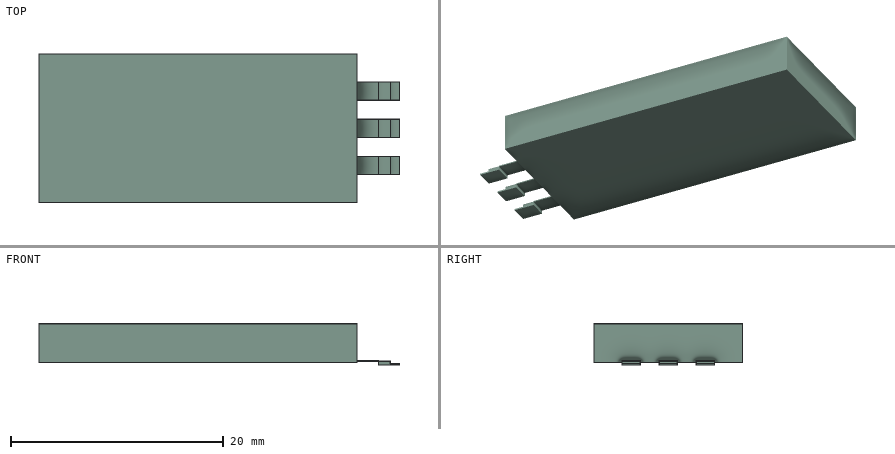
import cadquery as cq

total_length = 34.0
total_height = 3.9

housing_length = 30.0
housing_width = 14.0
housing_height = 3.67

contact_count = 3
contact_pitch = 3.5
contact_width = 1.75

strip_length = 2.0
strip_thickness = 0.1
strip_bottom = 0.1

terminal_start = housing_length + strip_length
terminal_bottom = housing_height - total_height
terminal_top = 0.15
upper_step_length = 1.12
lower_step_top = -0.1


def make_housing():
    return cq.Workplane("XY").box(
        housing_length, housing_width, housing_height, centered=(False, True, False)
    )


def make_strip(y_center):
    """Thin lead running from the housing end face to the terminal."""
    return (
        cq.Workplane("XY")
        .box(strip_length, contact_width, strip_thickness, centered=(False, True, False))
        .translate((housing_length, y_center, strip_bottom))
    )


def make_terminal(y_center):
    """Stepped block, tall against the strip and low at its free end."""
    step_x = terminal_start + upper_step_length
    return (
        cq.Workplane("XZ", origin=(0, y_center, 0))
        .moveTo(terminal_start, terminal_bottom)
        .lineTo(total_length, terminal_bottom)
        .lineTo(total_length, lower_step_top)
        .lineTo(step_x, lower_step_top)
        .lineTo(step_x, terminal_top)
        .lineTo(terminal_start, terminal_top)
        .close()
        .extrude(contact_width / 2, both=True)
    )


housing = make_housing()
strips = []
terminals = []
for index in range(contact_count):
    y_center = (index - (contact_count - 1) / 2) * contact_pitch
    strips.append(make_strip(y_center).val())
    terminals.append(make_terminal(y_center).val())

result = cq.Compound.makeCompound([housing.val(), *strips, *terminals])